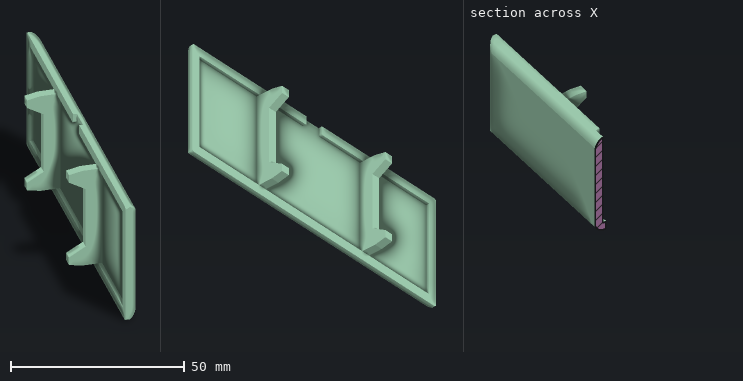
import cadquery as cq

plate_length = 105.6
plate_height = 37.8
plate_thickness = 4.0
corner_radius = 0.8
edge_band = 0.25
round_over_radius = 4.2
round_over_inset = 3.3

rim_width = 3.0
recess_depth = 1.2
recess_length = plate_length - 2 * rim_width
recess_height = plate_height - 2 * rim_width

gap_width = 6.6
gap_corner_radius = 0.5

clip_spacing = 44.8
clip_width = 2.9
clip_reach = 8.8
clip_bar_reach = 3.8
clip_taper_start = 4.8
clip_clearance = 0.15
clip_half_height = recess_height / 2 - clip_clearance
tip_drop = 0.8
tip_height = 2.5
arm_root_height = 6.2


def make_rounded_bar(width, length, plane):
    """Bar whose cross-section has a flat back joined by an arc to each side band."""
    half_width = width / 2
    half_back = half_width - round_over_inset
    return (
        cq.Workplane(plane)
        .moveTo(-half_width, 0)
        .lineTo(half_width, 0)
        .lineTo(half_width, edge_band)
        .radiusArc((half_back, plate_thickness), -round_over_radius)
        .lineTo(-half_back, plate_thickness)
        .radiusArc((-half_width, edge_band), -round_over_radius)
        .close()
        .extrude(length / 2, both=True)
    )


def make_plate():
    """Plate rounded over on all four sides, mitred at the corners, with the corner tips rounded."""
    along_x = make_rounded_bar(plate_height, plate_length, "ZY")
    along_z = make_rounded_bar(plate_length, plate_height, "XY")
    outline = (
        cq.Workplane("XY")
        .box(plate_length, plate_thickness, plate_height, centered=(True, False, True))
        .edges("|Y")
        .fillet(corner_radius)
    )
    return along_x.intersect(along_z).intersect(outline)


def make_recess():
    return cq.Workplane("XY").box(
        recess_length, recess_depth, recess_height, centered=(True, False, True)
    )


def make_gap():
    """Slot through the top rim, flared by rounded corners where it meets the recess."""
    half_gap = gap_width / 2
    rim_inside = recess_height / 2
    return (
        cq.Workplane("XZ")
        .moveTo(-half_gap, plate_height)
        .lineTo(-half_gap, rim_inside + gap_corner_radius)
        .radiusArc((-half_gap - gap_corner_radius, rim_inside), gap_corner_radius)
        .lineTo(half_gap + gap_corner_radius, rim_inside)
        .radiusArc((half_gap, rim_inside + gap_corner_radius), gap_corner_radius)
        .lineTo(half_gap, plate_height)
        .close()
        .extrude(-recess_depth)
    )


def make_clip(center_x):
    """C-shaped clip: a bar with a tapered arm at each end, symmetric about Z = 0."""
    tip_top = clip_half_height - tip_drop
    upper_half = [
        (recess_depth, clip_half_height),
        (-clip_taper_start, clip_half_height),
        (-clip_reach, tip_top),
        (-clip_reach, tip_top - tip_height),
        (-clip_bar_reach, clip_half_height - arm_root_height),
    ]
    lower_half = [(y, -z) for y, z in reversed(upper_half)]
    return (
        cq.Workplane("YZ", origin=(center_x, 0, 0))
        .polyline(upper_half + lower_half)
        .close()
        .extrude(clip_width / 2, both=True)
    )


result = make_plate().cut(make_recess()).cut(make_gap())
for side in (-1, 1):
    result = result.union(make_clip(side * clip_spacing / 2))